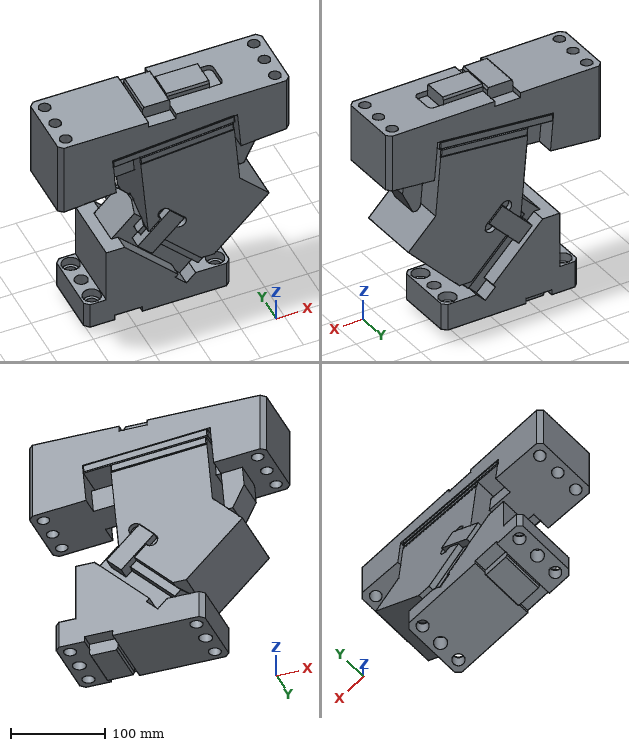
import cadquery as cq
import math


BODY_WIDTH = 80.0
CORNER_CHAMFER = 5.2
HOLE_OFFSET_Y = 27.3
HOLE_INSET = 13.0
CUT_MARGIN = 28.7

KEY_WIDTH = 32.1
KEY_LENGTH = 49.7
KEY_HEIGHT = 8.5
KEY_SLOT_DEPTH = 6.3
KEY_CHAMFER_SIDE = 1.5
KEY_CHAMFER_RISE = 3.2

HOLDER_LENGTH = 270.0
HOLDER_TOP = 269.8
HOLDER_LEFT_BOTTOM = 177.0
HOLDER_TILT = 5.0
HOLDER_HOLE_DIAMETER = 13.2
HOLDER_KEY_LEFT = 104.0

LONG_KEY_LENGTH = 49.7
LONG_SLOT_LENGTH = 66.5
LONG_SLOT_CORNER_RADIUS = 5.7

POCKET_LEFT = 66.5
POCKET_RIGHT = 212.7
POCKET_HEIGHT = 46.5
PLATE_THICKNESS = 9.8
PLATE_EDGE_CHAMFER = 1.0
HOLDER_PLATE_RIGHT = 209.2
RAIL_HEIGHT = POCKET_HEIGHT - 2 * PLATE_THICKNESS
RAIL_WIDTH = 36.0
HOOK_THICKNESS = 24.5
HOOK_DROP = 48.5
HOOK_STRAIGHT = 23.0
HOOK_TIP_LEFT = 4.0
HOOK_TIP_RIGHT = 9.2
HOOK_TIP_CHAMFER_RISE = 5.2

BASE_LEFT = 30.5
BASE_LENGTH = 170.0
BASE_THICKNESS = 32.5
TOWER_LEFT = 54.5
TOWER_TOP = 100.2
SLOPE_START_X = 76.0
SLOPE_ANGLE = 45.0
BASE_KEY_LEFT = 64.5
DOWEL_DIAMETER = 15.0
SCREW_DIAMETER = 13.8
COUNTERBORE_DIAMETER = 20.5
COUNTERBORE_DEPTH = 10.3

GUIDE_START = -5.5
GUIDE_END = 106.5
GUIDE_WIDTH = 44.8
GUIDE_FOOT = 9.8
RELIEF_START = 88.5
RELIEF_DEPTH = 4.5
WING_START = 7.0
WING_BOTTOM = 19.2
WING_TOP = 28.7
WING_WIDTH = 65.7
ROOF_ANGLE = 20.0
RIDGE_FLAT = 10.3

SLIDE_LEFT = 97.5
SLIDE_RIGHT = 207.2
SLIDE_END = 108.5
SLIDE_BACK = 130.0
SLIDE_BOTTOM = 51.5
RIDGE_RELIEF = 1.5

CLAMP_START = 11.8
CLAMP_END = 35.5
CLAMP_BOTTOM = 8.5
CLAMP_TOP = 61.7
CLAMP_OUTER_WIDTH = 84.0
CLAMP_INNER_WIDTH = 67.7
CLAMP_HOOK_TOP = 18.7
CLAMP_HOOK_INNER_WIDTH = 55.0
CLAMP_CORNER_RADIUS = 7.0
CLAMP_CORNER_OFFSET = 1.7

TILT_ORIGIN = (0.0, HOLDER_LEFT_BOTTOM)
SLOPE_ORIGIN = (SLOPE_START_X, TOWER_TOP)


def direction(angle):
    return (math.cos(math.radians(angle)), math.sin(math.radians(angle)))


ALONG_TILT = direction(HOLDER_TILT)
ALONG_SLOPE = direction(-SLOPE_ANGLE)


def frame(origin, along):
    """Side-on workplane at mid width, its local x running in the XZ direction `along`."""
    return cq.Workplane(cq.Plane((origin[0], 0, origin[1]), (along[0], 0, along[1]), (0, -1, 0)))


def upright():
    return frame((0, 0), (1, 0))


def tilted():
    return frame(TILT_ORIGIN, ALONG_TILT)


def sloped():
    return frame(SLOPE_ORIGIN, ALONG_SLOPE)


def slab(plane, points, width):
    """Closed side outline made into a solid, centred on mid width."""
    return plane.polyline(points).close().extrude(width / 2, both=True)


def bar(plane, left, right, bottom, top, width):
    return slab(plane, [(left, bottom), (right, bottom), (right, top), (left, top)], width)


def in_world(origin, along, point):
    """X and Z of a point given along and square to a direction."""
    x = origin[0] + point[0] * along[0] - point[1] * along[1]
    z = origin[1] + point[0] * along[1] + point[1] * along[0]
    return (x, z)


def crossing(start, along, other_start, other_along):
    """Where two lines in the XZ plane meet."""
    dx = other_start[0] - start[0]
    dz = other_start[1] - start[1]
    denominator = along[0] * other_along[1] - along[1] * other_along[0]
    distance = (dx * other_along[1] - dz * other_along[0]) / denominator
    return (start[0] + distance * along[0], start[1] + distance * along[1])


def block_with_cut_corners(left, length, bottom, top):
    return (
        cq.Workplane("XY", origin=(left + length / 2, 0, bottom))
        .rect(length, BODY_WIDTH)
        .extrude(top - bottom)
        .edges("|Z")
        .chamfer(CORNER_CHAMFER)
    )


def key_section(width):
    """Half-sunk key: flat foot, upright sides, bevelled top edges. Height 0 is the face."""
    half = width / 2
    shoulder = KEY_HEIGHT - KEY_CHAMFER_RISE
    crown = half - KEY_CHAMFER_SIDE
    return [
        (-half, -KEY_SLOT_DEPTH), (half, -KEY_SLOT_DEPTH), (half, shoulder),
        (crown, KEY_HEIGHT), (-crown, KEY_HEIGHT), (-half, shoulder),
    ]


def cross_key(center_x, face_z, up):
    """Key across the width; `up` is 1 on a top face and -1 on an underside."""
    section = [(x, up * height) for x, height in key_section(KEY_WIDTH)]
    return slab(frame((center_x, face_z), (1, 0)), section, KEY_LENGTH)


def cross_slot(center_x, face_z):
    half = KEY_WIDTH / 2
    plane = frame((center_x, face_z), (1, 0))
    return bar(plane, -half, half, -KEY_SLOT_DEPTH, KEY_SLOT_DEPTH, BODY_WIDTH + CUT_MARGIN)


def wear_plate(left, right, bottom):
    """Plate across the full width with its edges bevelled on both side faces."""
    plate = bar(tilted(), left, right, bottom, bottom + PLATE_THICKNESS, BODY_WIDTH)
    return plate.faces("<Y or >Y").chamfer(PLATE_EDGE_CHAMFER)


def guide_rail():
    """Straight rail that hangs across the holder pocket and runs through the slide."""
    return bar(tilted(), POCKET_LEFT, POCKET_RIGHT, 0, RAIL_HEIGHT, RAIL_WIDTH)


def long_key_and_slot(start):
    """Lengthwise key and the round-cornered slot that holds it."""
    slot = (
        cq.Workplane("XY", origin=(start + LONG_SLOT_LENGTH / 2, 0, HOLDER_TOP - KEY_SLOT_DEPTH))
        .rect(LONG_SLOT_LENGTH, KEY_WIDTH)
        .extrude(KEY_SLOT_DEPTH)
        .edges("|Z and >X")
        .fillet(LONG_SLOT_CORNER_RADIUS)
    )
    key = (
        cq.Workplane("YZ", origin=(start, 0, HOLDER_TOP))
        .polyline(key_section(KEY_WIDTH))
        .close()
        .extrude(LONG_KEY_LENGTH)
    )
    return key, slot


def return_hook():
    left = POCKET_RIGHT
    outline = [
        (left, 0),
        (left, HOOK_TIP_CHAMFER_RISE - HOOK_DROP),
        (left + HOOK_TIP_LEFT, -HOOK_DROP),
        (left + HOOK_TIP_RIGHT, -HOOK_DROP),
        (left + HOOK_THICKNESS, -HOOK_STRAIGHT),
        (left + HOOK_THICKNESS, 0),
    ]
    return slab(tilted(), outline, RAIL_WIDTH)


def make_holder():
    body = block_with_cut_corners(0, HOLDER_LENGTH, HOLDER_LEFT_BOTTOM, HOLDER_TOP)
    wide = BODY_WIDTH + CUT_MARGIN
    far_right = HOLDER_LENGTH + CUT_MARGIN
    body = body.cut(bar(tilted(), -CUT_MARGIN, far_right, -2 * CUT_MARGIN, 0, wide))
    body = body.cut(bar(tilted(), POCKET_LEFT, POCKET_RIGHT, -CUT_MARGIN, POCKET_HEIGHT, wide))
    body = body.union(wear_plate(POCKET_LEFT, HOLDER_PLATE_RIGHT, POCKET_HEIGHT - PLATE_THICKNESS))
    body = body.union(guide_rail()).union(return_hook())

    key_center = HOLDER_KEY_LEFT + KEY_WIDTH / 2
    long_key, long_slot = long_key_and_slot(HOLDER_KEY_LEFT + KEY_WIDTH)
    body = body.cut(cross_slot(key_center, HOLDER_TOP)).cut(long_slot)
    body = body.union(cross_key(key_center, HOLDER_TOP, 1)).union(long_key)

    hole_places = [
        (x, y)
        for x in (HOLE_INSET, HOLDER_LENGTH - HOLE_INSET)
        for y in (-HOLE_OFFSET_Y, 0, HOLE_OFFSET_Y)
    ]
    holes = (
        cq.Workplane("XY")
        .pushPoints(hole_places)
        .circle(HOLDER_HOLE_DIAMETER / 2)
        .extrude(HOLDER_TOP)
    )
    return body.cut(holes)


def roof_height(offset):
    """Height above the slope of the guide's roof at a distance from mid width."""
    return WING_TOP + (WING_WIDTH / 2 - offset) * math.tan(math.radians(ROOF_ANGLE))


def roof_prism(start, end, width, bottom, ridge_relief=0.0):
    """Run of the roof-shaped guide section, its flat ridge raised by `ridge_relief`."""
    half = width / 2
    half_ridge = RIDGE_FLAT / 2
    ridge = roof_height(half_ridge)
    right_half = [(half, bottom), (half, roof_height(half)), (half_ridge, ridge)]
    if ridge_relief:
        right_half.append((half_ridge, ridge + ridge_relief))
    left_half = [(-y, height) for y, height in reversed(right_half)]
    origin = in_world(SLOPE_ORIGIN, ALONG_SLOPE, (start, 0))
    across = cq.Plane((origin[0], 0, origin[1]), (0, 1, 0), (ALONG_SLOPE[0], 0, ALONG_SLOPE[1]))
    return cq.Workplane(across).polyline(right_half + left_half).close().extrude(end - start)


def make_base():
    body = block_with_cut_corners(BASE_LEFT, BASE_LENGTH, 0, BASE_THICKNESS)
    tower_right = SLOPE_START_X + TOWER_TOP - BASE_THICKNESS
    tower = [
        (TOWER_LEFT, 0), (tower_right, 0), (tower_right, BASE_THICKNESS),
        (SLOPE_START_X, TOWER_TOP), (TOWER_LEFT, TOWER_TOP),
    ]
    body = body.union(slab(upright(), tower, BODY_WIDTH))
    wide = BODY_WIDTH + CUT_MARGIN
    body = body.cut(bar(sloped(), 0, GUIDE_END, 0, WING_TOP, wide))
    body = body.cut(bar(sloped(), RELIEF_START, GUIDE_END, -RELIEF_DEPTH, WING_TOP, wide))
    body = body.union(roof_prism(GUIDE_START, GUIDE_END, GUIDE_WIDTH, -GUIDE_FOOT))
    body = body.union(roof_prism(WING_START, GUIDE_END, WING_WIDTH, WING_BOTTOM))

    key_center = BASE_KEY_LEFT + KEY_WIDTH / 2
    body = body.cut(cross_slot(key_center, 0)).union(cross_key(key_center, 0, -1))

    for x in (BASE_LEFT + HOLE_INSET, BASE_LEFT + BASE_LENGTH - HOLE_INSET):
        top = cq.Workplane("XY", origin=(x, 0, BASE_THICKNESS))
        body = body.cut(top.circle(DOWEL_DIAMETER / 2).extrude(-BASE_THICKNESS))
        screws = top.pushPoints([(0, -HOLE_OFFSET_Y), (0, HOLE_OFFSET_Y)])
        body = body.cut(screws.circle(SCREW_DIAMETER / 2).extrude(-BASE_THICKNESS))
        body = body.cut(screws.circle(COUNTERBORE_DIAMETER / 2).extrude(-COUNTERBORE_DEPTH))
    return body


def slide_outline():
    """Side outline in X and Z below the wear plate."""
    plate_bottom = POCKET_HEIGHT - 2 * PLATE_THICKNESS
    across_tilt = (-ALONG_TILT[1], ALONG_TILT[0])
    across_slope = (-ALONG_SLOPE[1], ALONG_SLOPE[0])
    top_left = in_world(TILT_ORIGIN, ALONG_TILT, (SLIDE_LEFT, plate_bottom))
    top_right = in_world(TILT_ORIGIN, ALONG_TILT, (SLIDE_RIGHT, plate_bottom))
    underside = in_world(SLOPE_ORIGIN, ALONG_SLOPE, (0, WING_TOP))
    heel = in_world(SLOPE_ORIGIN, ALONG_SLOPE, (SLIDE_END, SLIDE_BACK))
    flat = (0, SLIDE_BOTTOM)
    level = (1, 0)
    return [
        top_left,
        crossing(top_left, across_tilt, underside, ALONG_SLOPE),
        crossing(underside, ALONG_SLOPE, flat, level),
        crossing(heel, across_slope, flat, level),
        heel,
        crossing(heel, ALONG_SLOPE, top_right, across_tilt),
        top_right,
    ]


def clamps():
    """Pair of L-shaped clamps that reach under the guide's wings."""
    outer = bar(sloped(), CLAMP_START, CLAMP_END, CLAMP_BOTTOM, CLAMP_TOP, CLAMP_OUTER_WIDTH)
    middle = bar(sloped(), CLAMP_START, CLAMP_END, CLAMP_BOTTOM, CLAMP_TOP, CLAMP_INNER_WIDTH)
    hooks = bar(sloped(), CLAMP_START, CLAMP_END, CLAMP_BOTTOM, CLAMP_HOOK_TOP, CLAMP_INNER_WIDTH)
    gap = bar(
        sloped(), CLAMP_START, CLAMP_END, CLAMP_BOTTOM, CLAMP_HOOK_TOP, CLAMP_HOOK_INNER_WIDTH
    )
    return outer.cut(middle).union(hooks.cut(gap))


def clamp_corner_reliefs():
    """Round reliefs beside the clamps' upper corners, as deep as the clamps."""
    center_height = CLAMP_TOP - CLAMP_CORNER_RADIUS
    centers = [
        (CLAMP_START - CLAMP_CORNER_OFFSET, center_height),
        (CLAMP_END + CLAMP_CORNER_OFFSET, center_height),
    ]
    through = (
        sloped()
        .pushPoints(centers)
        .circle(CLAMP_CORNER_RADIUS)
        .extrude(CLAMP_OUTER_WIDTH / 2, both=True)
    )
    core = bar(sloped(), 0, SLIDE_END, 0, SLIDE_BACK, CLAMP_INNER_WIDTH)
    return through.cut(core)


def make_slide():
    body = slab(upright(), slide_outline(), BODY_WIDTH)
    body = body.union(wear_plate(SLIDE_LEFT, SLIDE_RIGHT, POCKET_HEIGHT - 2 * PLATE_THICKNESS))
    body = body.cut(guide_rail())
    body = body.cut(roof_prism(GUIDE_START, SLIDE_END, WING_WIDTH, 0, RIDGE_RELIEF))
    return body.cut(clamp_corner_reliefs()).union(clamps())


holder = make_holder()
base = make_base()
slide = make_slide()

result = cq.Compound.makeCompound([holder.solids().val(), base.solids().val(), slide.solids().val()])